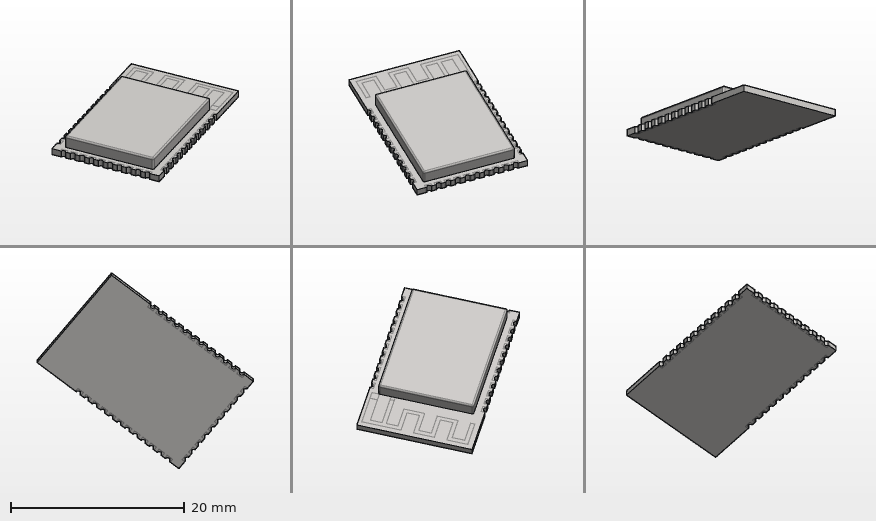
import cadquery as cq

BOARD_WIDTH = 13.8
BOARD_LENGTH = 20.99
BOARD_THICKNESS = 0.8
BOARD_RIGHT = BOARD_WIDTH / 2
BOARD_LEFT = -BOARD_RIGHT

TOTAL_HEIGHT = 2.29
CAN_HEIGHT = TOTAL_HEIGHT - BOARD_THICKNESS
CAN_WIDTH = 11.4
CAN_LENGTH = 14.95
CAN_LOWER_MARGIN = 0.97
CAN_EDGE_RADIUS = 0.2
CAN_UPPER_EDGE = CAN_LOWER_MARGIN + CAN_LENGTH

PAD_PITCH = 1.2
PAD_WIDTH = 0.8
PAD_DEPTH = 0.45
CASTELLATION_DIAMETER = 0.56
SIDE_PAD_COUNT = 12
FIRST_SIDE_PAD_Y = 1.7
LOWER_PAD_COUNT = 10
LOWER_PAD_Y = -0.05
FIRST_LOWER_PAD_X = -(LOWER_PAD_COUNT - 1) / 2 * PAD_PITCH

COPPER_DEPTH = 0.035
TRACE_WIDTH = 0.5
LOWER_RUN_WIDTH = 0.45
MEANDER_PITCH = 2.0
MEANDER_LEG_COUNT = 5
MEANDER_HEIGHT = 3.1
FEED_PITCH = 1.9
GROUND_LEG_WIDTH = 0.9
FEED_TERMINAL_LENGTH = 0.45
GROUND_TERMINAL_LENGTH = 0.87
ANTENNA_LEFT_MARGIN = 0.67
ANTENNA_TOP_MARGIN = 0.6
ANTENNA_LEFT = BOARD_LEFT + ANTENNA_LEFT_MARGIN
ANTENNA_TOP = BOARD_LENGTH - ANTENNA_TOP_MARGIN
MEANDER_BOTTOM = ANTENNA_TOP - MEANDER_HEIGHT
FEED_LEFT = ANTENNA_LEFT + (MEANDER_LEG_COUNT - 1) * MEANDER_PITCH + FEED_PITCH
FEED_RIGHT = FEED_LEFT + TRACE_WIDTH
FEED_TERMINAL_TOP = CAN_UPPER_EDGE + FEED_TERMINAL_LENGTH
GROUND_LEFT = FEED_LEFT + FEED_PITCH
GROUND_RIGHT = GROUND_LEFT + GROUND_LEG_WIDTH
GROUND_TERMINAL_TOP = CAN_UPPER_EDGE + GROUND_TERMINAL_LENGTH


def block(left, right, lower, upper, bottom, height):
    """Rectangular block between the given X and Y limits, standing on Z = bottom."""
    blank = cq.Workplane("XY").box(right - left, upper - lower, height, centered=False)
    return blank.translate((left, lower, bottom))


def copper(left, right, lower, upper):
    """Copper rectangle sunk flush into the board's top face."""
    return block(left, right, lower, upper, BOARD_THICKNESS - COPPER_DEPTH, COPPER_DEPTH)


def make_antenna_trace():
    """Winding trace with its feed and ground legs, without their terminals."""
    lower_run_top = MEANDER_BOTTOM + LOWER_RUN_WIDTH
    upper_run_bottom = ANTENNA_TOP - TRACE_WIDTH
    trace = copper(FEED_LEFT, FEED_RIGHT, FEED_TERMINAL_TOP, ANTENNA_TOP)
    trace = trace.union(copper(GROUND_LEFT, GROUND_RIGHT, GROUND_TERMINAL_TOP, ANTENNA_TOP))
    for i in range(MEANDER_LEG_COUNT):
        left = ANTENNA_LEFT + i * MEANDER_PITCH
        trace = trace.union(copper(left, left + TRACE_WIDTH, MEANDER_BOTTOM, ANTENNA_TOP))
        is_last_leg = i == MEANDER_LEG_COUNT - 1
        run_right = GROUND_RIGHT if is_last_leg else left + MEANDER_PITCH + TRACE_WIDTH
        if i % 2 == 0:
            run = copper(left, run_right, upper_run_bottom, ANTENNA_TOP)
        else:
            run = copper(left, run_right, MEANDER_BOTTOM, lower_run_top)
        trace = trace.union(run)
    return trace


def make_antenna_terminals():
    """Short end pieces of the feed and ground legs, ending at the can."""
    feed = copper(FEED_LEFT, FEED_RIGHT, CAN_UPPER_EDGE, FEED_TERMINAL_TOP)
    ground = copper(GROUND_LEFT, GROUND_RIGHT, CAN_UPPER_EDGE, GROUND_TERMINAL_TOP)
    return [feed, ground]


def side_pad_centres():
    """Castellation centres on the left and right edges."""
    ys = [FIRST_SIDE_PAD_Y + i * PAD_PITCH for i in range(SIDE_PAD_COUNT)]
    return [(x, y) for x in (BOARD_LEFT, BOARD_RIGHT) for y in ys]


def lower_pad_centres():
    """Castellation centres just outside the lower edge."""
    return [(FIRST_LOWER_PAD_X + i * PAD_PITCH, LOWER_PAD_Y) for i in range(LOWER_PAD_COUNT)]


def make_pad(x, y, half_x, half_y, blank):
    """Pad through the full board thickness, trimmed to the board's outline."""
    pad = block(x - half_x, x + half_x, y - half_y, y + half_y, 0, BOARD_THICKNESS)
    return pad.intersect(blank)


def make_pads(blank):
    """All edge pads; each reaches PAD_DEPTH inward from its castellation centre."""
    half_width = PAD_WIDTH / 2
    side_pads = [make_pad(x, y, PAD_DEPTH, half_width, blank) for x, y in side_pad_centres()]
    lower_pads = [make_pad(x, y, half_width, PAD_DEPTH, blank) for x, y in lower_pad_centres()]
    return side_pads + lower_pads


def make_board():
    """Board whose flush copper areas keep their own faces, with castellated edges."""
    blank = block(BOARD_LEFT, BOARD_RIGHT, 0, BOARD_LENGTH, 0, BOARD_THICKNESS)
    board = blank
    for area in [make_antenna_trace(), *make_antenna_terminals(), *make_pads(blank)]:
        board = board.cut(area, clean=False).union(area, clean=False)
    castellations = (
        cq.Workplane("XY")
        .pushPoints(side_pad_centres() + lower_pad_centres())
        .circle(CASTELLATION_DIAMETER / 2)
        .extrude(BOARD_THICKNESS)
    )
    return board.cut(castellations, clean=False)


def make_can():
    """Solid can with rounded upright and top edges."""
    can = block(
        -CAN_WIDTH / 2, CAN_WIDTH / 2, CAN_LOWER_MARGIN, CAN_UPPER_EDGE, BOARD_THICKNESS, CAN_HEIGHT
    )
    return can.edges("|Z or >Z").fillet(CAN_EDGE_RADIUS)


board = make_board()
can = make_can()
result = cq.Compound.makeCompound([board.val(), can.val()])